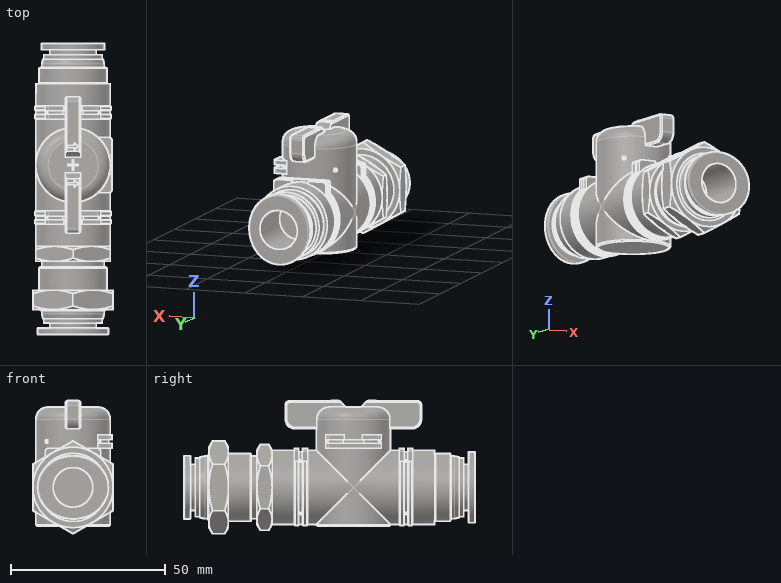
import cadquery as cq
import math


LENGTH = 94.2
END_PLUS = 39.4
END_MINUS = LENGTH - END_PLUS

BODY_R = 12.1
BODY_HALF_LENGTH = 26.3
BASE_DEPTH = 12.5
BASE_CHAMFER = BASE_DEPTH - BODY_R

COLLAR_LONG_R = 11.5
COLLAR_SHORT_R = 10.3
COLLAR_THICKNESS = 2.2
COLLAR_EDGE = 0.3
NECK_R = 7.5
NECK_END = 3.7
TIP_R = 9.5
TIP_END = 5.2
TAPER_SMALL_R = 9.8
TAPER_LARGE_R = 10.2
TAPER_END = 6.7
SHOULDER = 7.7
SHOULDER_END = 8.1
CARTRIDGE_R = 11.0
CARTRIDGE_EDGE = 0.4
BORE_R = 6.4
BORE_DEPTH = 18.8
PLUS_CARTRIDGE_END = END_PLUS - BODY_HALF_LENGTH
MINUS_CARTRIDGE_END = 21.9

BODY_NUT_FLAT_R = BODY_R
BODY_NUT_THICKNESS = 4.9
LOCK_NUT_FLAT_R = 13.0
LOCK_NUT_THICKNESS = 6.3
LOCK_NUT_START = 40.4
NUT_CHAMFER_ANGLE = math.radians(30)

CLAMP_RUN_DISTANCE = 17.05
CLAMP_STEM_DISTANCE = 14.9
CLAMP_HALF_WIDTH = 8.95
CLAMP_HEIGHT = 12.6
CLAMP_CORNER_R = 0.9
GROOVE_HEIGHT = 11.6
GROOVE_HALF_LENGTH = 0.6
INNER_RIB_LENGTH = 1.7
OUTER_RIB_LENGTH = 1.5
NOTCH_WIDTH = 5.8
RING_R = 12.3
RING_BEVEL = 0.3
PIN_HOLE_R = 0.6
PIN_HOLE_DEPTH = 0.8

KNOB_TOP = 26.0
KNOB_FILLET = 4.0
HANDLE_HALF_LENGTH = 22.0
HANDLE_WIDTH = 5.0
HANDLE_BOTTOM = 18.9
HANDLE_TOP = 28.0
HANDLE_TOP_FILLET = 1.4
HANDLE_BOTTOM_FILLET = 3.2
HANDLE_CHAMFER = 0.5
GAP_BOTTOM = 2.45
GAP_TOP = GAP_BOTTOM + HANDLE_TOP - KNOB_TOP

ARROW_POSITION = 6.0
ARROW_HALF_LENGTH = 1.7
ARROW_HEAD_START = 0.5
ARROW_HEAD_HALF_WIDTH = 1.1
ARROW_SHAFT_HALF_WIDTH = 0.4
MARK_HEIGHT = 0.25
CROSS_LENGTH = 3.5
CROSS_WIDTH = 0.6


def y_cylinder(radius, start, end):
    return cq.Workplane("XZ", origin=(0, end, 0)).circle(radius).extrude(end - start)


def z_cylinder(radius, start, end):
    return cq.Workplane("XY").workplane(offset=start).circle(radius).extrude(end - start)


def socket(cartridge_length):
    """Stepped push-fit socket with its outer end at Y = 0, running toward -Y."""
    profile = [
        (0, -COLLAR_THICKNESS / 2),
        (NECK_R, -COLLAR_THICKNESS / 2),
        (NECK_R, -NECK_END),
        (TIP_R, -NECK_END),
        (TIP_R, -TIP_END),
        (TAPER_SMALL_R, -TIP_END),
        (TAPER_LARGE_R, -TAPER_END),
        (TAPER_LARGE_R, -SHOULDER),
        (CARTRIDGE_R, -SHOULDER_END),
        (CARTRIDGE_R, CARTRIDGE_EDGE - cartridge_length),
        (CARTRIDGE_R - CARTRIDGE_EDGE, -cartridge_length),
        (0, -cartridge_length),
    ]
    return cq.Workplane("XY").polyline(profile).close().revolve(360, (0, 0, 0), (0, 1, 0))


def collar(x_radius, z_radius):
    """Oval release collar with its outer face at Y = 0."""
    plate = cq.Workplane("XZ").ellipse(x_radius, z_radius).extrude(COLLAR_THICKNESS)
    return plate.edges().fillet(COLLAR_EDGE)


def nut(flat_r, start, thickness):
    """Hexagon nut from Y = -start toward -Y, both ends coned down to the flats."""
    corner_r = flat_r / math.cos(math.pi / 6)
    cone_depth = (corner_r - flat_r) * math.tan(NUT_CHAMFER_ANGLE)
    hexagon = (
        cq.Workplane("XZ", origin=(0, -start, 0))
        .transformed(rotate=(0, 0, 90))
        .polygon(6, 2 * corner_r)
        .extrude(thickness)
    )
    envelope = y_cylinder(corner_r, -start - thickness, -start)
    envelope = envelope.edges("%CIRCLE").chamfer(cone_depth, corner_r - flat_r)
    return hexagon.intersect(envelope)


def rib_spans(distance):
    """Start and end Y of the inner and outer rib of a clamp seat centred at Y = distance."""
    inner_end = distance - GROOVE_HALF_LENGTH
    outer_start = distance + GROOVE_HALF_LENGTH
    return (inner_end - INNER_RIB_LENGTH, inner_end), (outer_start, outer_start + OUTER_RIB_LENGTH)


def rib(start, end):
    """Straight rib rising to CLAMP_HEIGHT above the axis of a tube lying along +Y."""
    plane = cq.Workplane("XZ", origin=(0, end, CLAMP_HEIGHT / 2))
    block = plane.rect(2 * CLAMP_HALF_WIDTH, CLAMP_HEIGHT).extrude(end - start)
    return block.edges("|Y and >Z").fillet(CLAMP_CORNER_R)


def ring(start, end):
    """Low bevelled ring around a tube lying along +Y."""
    profile = [
        (0, start),
        (BODY_R, start),
        (RING_R, start + RING_BEVEL),
        (RING_R, end - RING_BEVEL),
        (BODY_R, end),
        (0, end),
    ]
    return cq.Workplane("XY").polyline(profile).close().revolve(360, (0, 0, 0), (0, 1, 0))


def clamp_ribs(distance, ringed):
    """Both ribs of a clamp seat, optionally carried on around the tube as rings, the outer one notched."""
    inner_span, outer_span = rib_spans(distance)
    inner = rib(*inner_span)
    outer = rib(*outer_span)
    if ringed:
        inner = inner.union(ring(*inner_span))
        outer = outer.union(ring(*outer_span))
    notch = cq.Workplane("XZ", origin=(0, outer_span[1], CLAMP_HEIGHT / 2))
    notch = notch.rect(NOTCH_WIDTH, CLAMP_HEIGHT).extrude(OUTER_RIB_LENGTH)
    return inner.union(outer.cut(notch))


def clamp_groove(distance):
    """Volume removed between the ribs, flattening the tube there."""
    groove = cq.Workplane("XY", origin=(0, distance, GROOVE_HEIGHT))
    groove = groove.rect(2 * CLAMP_HALF_WIDTH, 2 * GROOVE_HALF_LENGTH)
    return groove.extrude(CLAMP_HEIGHT - GROOVE_HEIGHT)


def pin_holes(distance):
    """Four radial pin holes on the diagonals of a tube lying along +Y."""
    holes = cq.Workplane("XY")
    hole = cq.Workplane("XY", origin=(0, distance, BODY_R - PIN_HOLE_DEPTH))
    hole = hole.circle(PIN_HOLE_R).extrude(BODY_R)
    for angle in (45, 135, 225, 315):
        holes = holes.add(hole.rotate((0, 0, 0), (0, 1, 0), angle))
    return holes.combine()


def to_minus_y(shape):
    return shape.rotate((0, 0, 0), (0, 0, 1), 180)


def to_stem(shape):
    """Turn a feature on top of the +Y tube to the +X side of the stem."""
    return shape.rotate((0, 0, 0), (1, 1, 1), 120)


def stem():
    """Upright tube with a rounded top, a chamfered base and a cross engraved on top."""
    tube = z_cylinder(BODY_R, -BASE_DEPTH, KNOB_TOP)
    tube = tube.faces(">Z").edges().fillet(KNOB_FILLET)
    tube = tube.faces("<Z").edges().chamfer(BASE_CHAMFER)
    cross = cq.Workplane("XY").box(CROSS_LENGTH, CROSS_WIDTH, 2 * MARK_HEIGHT)
    cross = cross.union(cross.rotate((0, 0, 0), (0, 0, 1), 90))
    return tube.cut(cross.translate((0, 0, KNOB_TOP)))


def handle():
    """Lever bar across the knob, split above it by a V gap."""
    height = HANDLE_TOP - HANDLE_BOTTOM
    bar = cq.Workplane("XY").box(HANDLE_WIDTH, 2 * HANDLE_HALF_LENGTH, height)
    bar = bar.translate((0, 0, HANDLE_BOTTOM + height / 2))
    bar = bar.edges("|X and >Z").fillet(HANDLE_TOP_FILLET)
    bar = bar.edges("|X and <Z").fillet(HANDLE_BOTTOM_FILLET)
    bar = bar.faces("<X or >X").edges().chamfer(HANDLE_CHAMFER)
    gap = (
        cq.Workplane("YZ", origin=(-HANDLE_WIDTH, 0, 0))
        .polyline(
            [
                (-GAP_BOTTOM, HANDLE_BOTTOM),
                (GAP_BOTTOM, HANDLE_BOTTOM),
                (GAP_BOTTOM, KNOB_TOP),
                (GAP_TOP, HANDLE_TOP),
                (-GAP_TOP, HANDLE_TOP),
                (-GAP_BOTTOM, KNOB_TOP),
            ]
        )
        .close()
        .extrude(2 * HANDLE_WIDTH)
    )
    return bar.cut(gap)


def arrow(y):
    """Raised arrow on the handle, pointing toward +X."""
    outline = [
        (-ARROW_HALF_LENGTH, -ARROW_SHAFT_HALF_WIDTH),
        (ARROW_HEAD_START, -ARROW_SHAFT_HALF_WIDTH),
        (ARROW_HEAD_START, -ARROW_HEAD_HALF_WIDTH),
        (ARROW_HALF_LENGTH, 0),
        (ARROW_HEAD_START, ARROW_HEAD_HALF_WIDTH),
        (ARROW_HEAD_START, ARROW_SHAFT_HALF_WIDTH),
        (-ARROW_HALF_LENGTH, ARROW_SHAFT_HALF_WIDTH),
    ]
    plane = cq.Workplane("XY", origin=(0, y, HANDLE_TOP))
    return plane.polyline(outline).close().extrude(MARK_HEIGHT)


body = y_cylinder(BODY_R, -BODY_HALF_LENGTH, BODY_HALF_LENGTH)
body = body.union(stem())

run_ribs = clamp_ribs(CLAMP_RUN_DISTANCE, ringed=True)
body = body.union(run_ribs).union(to_minus_y(run_ribs))
body = body.union(to_stem(clamp_ribs(CLAMP_STEM_DISTANCE, ringed=False)))

run_groove = clamp_groove(CLAMP_RUN_DISTANCE)
body = body.cut(run_groove).cut(to_minus_y(run_groove))
body = body.cut(to_stem(clamp_groove(CLAMP_STEM_DISTANCE)))

run_holes = pin_holes(CLAMP_RUN_DISTANCE)
body = body.cut(run_holes).cut(to_minus_y(run_holes))
body = body.cut(to_stem(pin_holes(CLAMP_STEM_DISTANCE)))

plus_socket = socket(PLUS_CARTRIDGE_END)
minus_socket = to_minus_y(socket(MINUS_CARTRIDGE_END))
body = body.union(plus_socket.translate((0, END_PLUS, 0)))
body = body.union(minus_socket.translate((0, -END_MINUS, 0)))
body = body.union(y_cylinder(TAPER_LARGE_R, MINUS_CARTRIDGE_END - END_MINUS, 0))
body = body.union(collar(COLLAR_SHORT_R, COLLAR_LONG_R).translate((0, END_PLUS, 0)))
body = body.union(to_minus_y(collar(COLLAR_LONG_R, COLLAR_SHORT_R)).translate((0, -END_MINUS, 0)))

body = body.union(nut(BODY_NUT_FLAT_R, BODY_HALF_LENGTH, BODY_NUT_THICKNESS))
body = body.union(nut(LOCK_NUT_FLAT_R, LOCK_NUT_START, LOCK_NUT_THICKNESS))

body = body.cut(y_cylinder(BORE_R, END_PLUS - BORE_DEPTH, END_PLUS))
body = body.cut(y_cylinder(BORE_R, -END_MINUS, BORE_DEPTH - END_MINUS))

body = body.union(handle())
for side in (-1, 1):
    body = body.union(arrow(side * ARROW_POSITION))

result = body